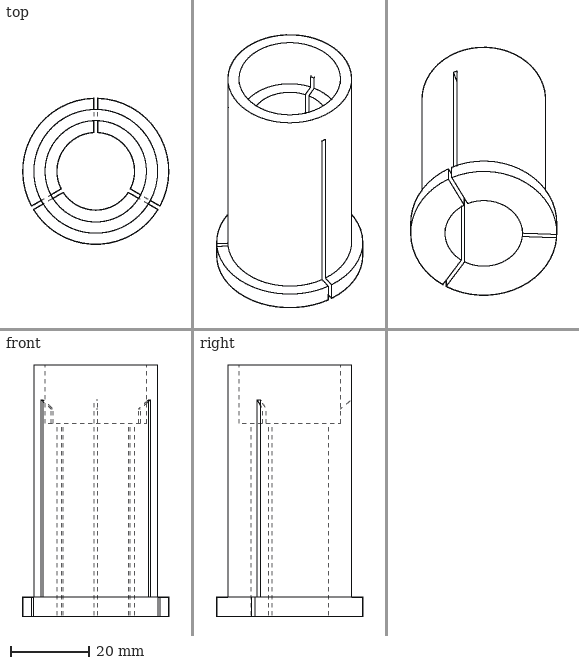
import cadquery as cq

total_height = 64.6
flange_diameter = 37.5
flange_thickness = 5.0
sleeve_diameter = 31.75

bore_diameter = 19.85
socket_diameter = 26.0
socket_depth = 15.0

slot_count = 3
slot_width = 1.0
slot_top_gap = 9.0
slot_roof_drop = 2.3
first_slot_angle = 90.0
slot_pitch = 360 / slot_count


def cylinder(diameter, bottom, top):
    """Upright cylinder on the Z axis between two heights."""
    return cq.Workplane("XY").workplane(offset=bottom).circle(diameter / 2).extrude(top - bottom)


def flanged_sleeve():
    """Sleeve with a flange at its foot and a wider socket at its mouth."""
    sleeve = cylinder(sleeve_diameter, 0, total_height)
    flange = cylinder(flange_diameter, 0, flange_thickness)
    bore = cylinder(bore_diameter, 0, total_height)
    socket = cylinder(socket_diameter, total_height - socket_depth, total_height)
    return sleeve.union(flange).cut(bore).cut(socket)


def radial_slot(angle):
    """Cutter for one slot: open at the foot, with a roof that rises from the axis outward."""
    socket_radius = socket_diameter / 2
    sleeve_radius = sleeve_diameter / 2
    reach = flange_diameter
    outer_top = total_height - slot_top_gap
    roof_slope = slot_roof_drop / (sleeve_radius - socket_radius)
    axis_top = outer_top - roof_slope * sleeve_radius
    reach_top = axis_top + roof_slope * reach
    profile = [(0, 0), (reach, 0), (reach, reach_top), (0, axis_top)]
    cutter = cq.Workplane("XZ").polyline(profile).close().extrude(slot_width / 2, both=True)
    return cutter.rotate((0, 0, 0), (0, 0, 1), angle)


result = flanged_sleeve()
for index in range(slot_count):
    result = result.cut(radial_slot(first_slot_angle + index * slot_pitch))